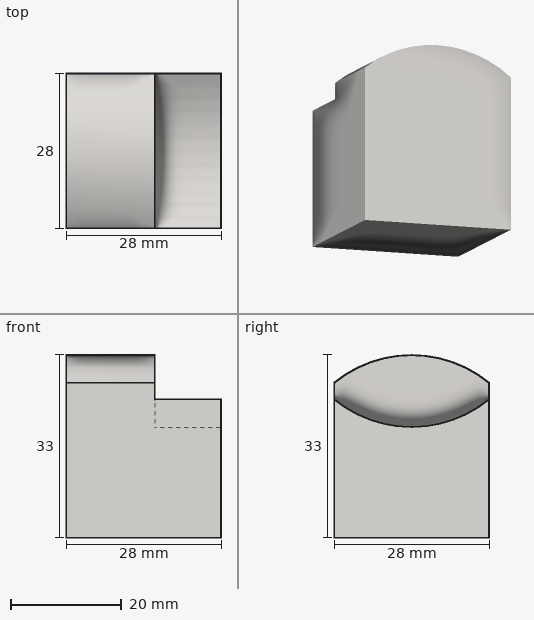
import cadquery as cq

side = 28.0
height = 33.0
crown_rise = 5.0
crown_length = 16.0
saddle_edge = 25.0
saddle_depth = crown_rise

half_width = side / 2


def arched_block(length, edge_height, middle_height):
    """Block along X whose top is an arc across Y."""
    return (
        cq.Workplane("YZ")
        .moveTo(-half_width, 0)
        .lineTo(half_width, 0)
        .lineTo(half_width, edge_height)
        .threePointArc((0, middle_height), (-half_width, edge_height))
        .close()
        .extrude(length)
    )


crown = arched_block(crown_length, height - crown_rise, height)
saddle = arched_block(side - crown_length, saddle_edge, saddle_edge - saddle_depth)

result = crown.union(saddle.translate((crown_length, 0, 0)))